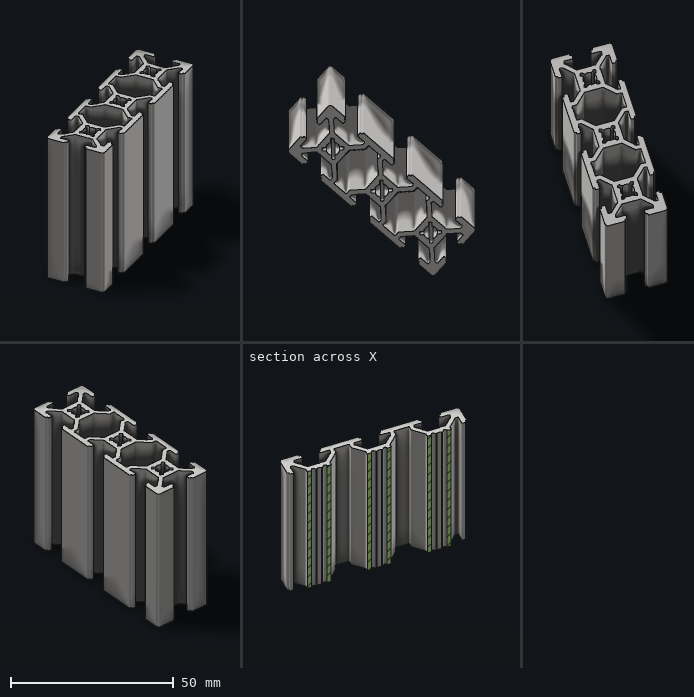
import cadquery as cq
import math

total_width = 60.0
cell_count = 3
cell = total_width / cell_count
length = 50.0
outer_radius = 1.0
edge_radius = 0.25

wall = 2.0
lip_step = 0.65
mouth_width = 7.25
throat_width = 5.9
pocket_width = 12.0

core_width = 8.1
web_thickness = 1.5

bore_radius = 2.1
relief_width = 1.1
relief_reach = 2.8

cavity_height = 5.05

face = cell / 2
core_half = core_width / 2
web_offset = web_thickness / math.sqrt(2)
core_flat_half = core_half - web_offset
cell_centers = [(i - (cell_count - 1) / 2) * cell for i in range(cell_count)]


def t_slot():
    """Cutter for the slot on the +X side of a cell centred on the origin."""
    pocket_half = pocket_width / 2
    pocket_top = face - wall
    pocket_shoulder = pocket_half + web_offset
    pocket = (
        cq.Workplane("XY")
        .polyline([
            (core_half, -core_flat_half),
            (pocket_shoulder, -pocket_half),
            (pocket_top, -pocket_half),
            (pocket_top, pocket_half),
            (pocket_shoulder, pocket_half),
            (core_half, core_flat_half),
        ])
        .close()
        .extrude(length)
    )
    throat = cq.Workplane("XY").box(face - core_half, throat_width, length, centered=(False, True, False))
    mouth = cq.Workplane("XY").box(lip_step, mouth_width, length, centered=(False, True, False))
    return (
        pocket
        .union(throat.translate((core_half, 0, 0)))
        .union(mouth.translate((face - lip_step, 0, 0)))
    )


def bore():
    """Cutter for the bore of a cell centred on the origin."""
    relief_length = 2 * relief_reach + relief_width
    cutter = cq.Workplane("XY").circle(bore_radius).extrude(length)
    for angle in (45, 135):
        relief = cq.Workplane("XY").slot2D(relief_length, relief_width, angle)
        cutter = cutter.union(relief.extrude(length))
    return cutter


def cavity():
    """Cutter for the closed cavity, centred on the joint between two cells."""
    side_x = face - wall
    end_y = cavity_height / 2
    core_y = face - core_half
    bend_x = core_flat_half + core_y - end_y
    upper = [
        (side_x, end_y),
        (bend_x, end_y),
        (core_flat_half, core_y),
        (-core_flat_half, core_y),
        (-bend_x, end_y),
        (-side_x, end_y),
    ]
    lower = [(-x, -y) for x, y in upper]
    return cq.Workplane("XY").polyline(upper + lower).close().extrude(length)


def turned(shape, angle, y):
    """Turn a cutter about Z, then move it to a cell at the given Y."""
    return shape.rotate((0, 0, 0), (0, 0, 1), angle).translate((0, y, 0))


body = cq.Workplane("XY").box(cell, total_width, length, centered=(True, True, False))

slot_cutter = t_slot()
for y in cell_centers:
    body = body.cut(turned(slot_cutter, 0, y))
    body = body.cut(turned(slot_cutter, 180, y))

body = body.cut(turned(slot_cutter, 90, cell_centers[-1]))
body = body.cut(turned(slot_cutter, -90, cell_centers[0]))

cavity_cutter = cavity()
for y in cell_centers[:-1]:
    body = body.cut(cavity_cutter.translate((0, y + face, 0)))

outer_corners = "|Z and (<X or >X) and (<Y or >Y)"
body = body.edges(f"|Z and (not ({outer_corners}))").fillet(edge_radius)
body = body.edges(outer_corners).fillet(outer_radius)

bore_cutter = bore()
result = body
for y in cell_centers:
    result = result.cut(bore_cutter.translate((0, y, 0)))